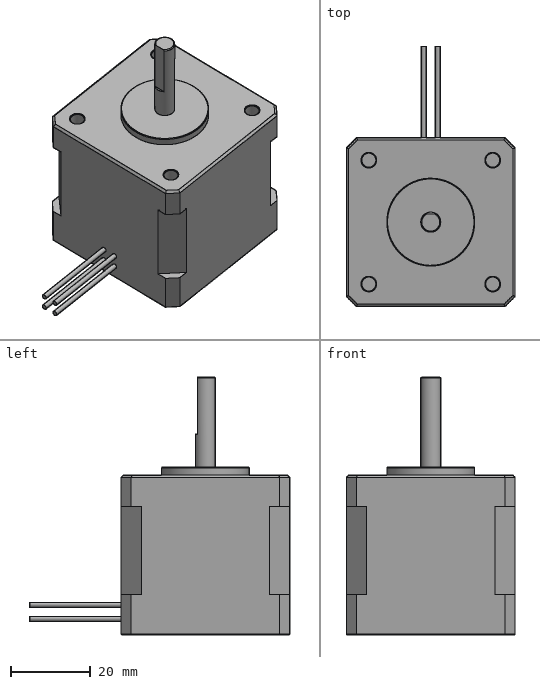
import cadquery as cq

HOUSING_WIDTH = 42.25
HOUSING_HEIGHT = 40.0
CORNER_CHAMFER = 2.55
TOP_EDGE_CHAMFER = 0.6
BOTTOM_EDGE_CHAMFER = 0.2

RECESS_BOTTOM = 10.15
RECESS_HEIGHT = 22.0
RECESS_CHAMFER = 5.1

PILOT_DIAMETER = 22.0
PILOT_HEIGHT = 2.0
PILOT_CHAMFER = 0.2

SHAFT_DIAMETER = 5.0
SHAFT_LENGTH = 22.5
SHAFT_CHAMFER = 0.25
FLAT_DEPTH = 0.5
FLAT_LENGTH = 14.3

HOLE_SPACING = 31.0
HOLE_DIAMETER = 3.5
HOLE_DEPTH = 4.5
HOLE_CHAMFER = 0.2

WIRE_DIAMETER = 1.3
WIRE_LENGTH = 22.85
WIRE_SPACING = 3.5
WIRE_CENTRE_Z = 5.7

pilot_top = HOUSING_HEIGHT + PILOT_HEIGHT
shaft_top = pilot_top + SHAFT_LENGTH


def chamfered_block(height, corner_chamfer):
    """Square block of the housing width with its four upright edges chamfered."""
    block = cq.Workplane("XY").rect(HOUSING_WIDTH, HOUSING_WIDTH).extrude(height)
    return block.edges("|Z").chamfer(corner_chamfer)


def make_housing():
    """Block with bevelled top and bottom rims and deeper cut corners at mid height."""
    block = chamfered_block(HOUSING_HEIGHT, CORNER_CHAMFER)
    block = block.faces(">Z").chamfer(TOP_EDGE_CHAMFER)
    block = block.faces("<Z").chamfer(BOTTOM_EDGE_CHAMFER)
    full_band = cq.Workplane("XY").rect(HOUSING_WIDTH, HOUSING_WIDTH).extrude(RECESS_HEIGHT)
    corner_pieces = full_band.cut(chamfered_block(RECESS_HEIGHT, RECESS_CHAMFER))
    return block.cut(corner_pieces.translate((0, 0, RECESS_BOTTOM)))


def make_pilot():
    pilot = cq.Workplane("XY", origin=(0, 0, HOUSING_HEIGHT))
    pilot = pilot.circle(PILOT_DIAMETER / 2).extrude(PILOT_HEIGHT)
    return pilot.faces(">Z").chamfer(PILOT_CHAMFER)


def make_shaft():
    """Round shaft with a bevelled tip and a flat running down from the tip."""
    shaft = cq.Workplane("XY", origin=(0, 0, pilot_top))
    shaft = shaft.circle(SHAFT_DIAMETER / 2).extrude(SHAFT_LENGTH)
    shaft = shaft.faces(">Z").chamfer(SHAFT_CHAMFER)
    flat_y = SHAFT_DIAMETER / 2 - FLAT_DEPTH
    flat_cut = cq.Workplane("XY", origin=(0, flat_y, shaft_top - FLAT_LENGTH)).box(
        SHAFT_DIAMETER, SHAFT_DIAMETER, FLAT_LENGTH, centered=(True, False, False)
    )
    return shaft.cut(flat_cut)


def make_wires():
    """Two by two bundle of straight wires pointing along +Y."""
    bundle = cq.Workplane("XZ", origin=(0, HOUSING_WIDTH / 2, WIRE_CENTRE_Z))
    bundle = bundle.rarray(WIRE_SPACING, WIRE_SPACING, 2, 2)
    return bundle.circle(WIRE_DIAMETER / 2).extrude(-WIRE_LENGTH)


def make_hole_cutters():
    """Four solids shaped like the blind holes, each with a bevelled mouth."""
    mouth_radius = HOLE_DIAMETER / 2 + HOLE_CHAMFER
    top = cq.Workplane("XY", origin=(0, 0, HOUSING_HEIGHT))
    centres = top.rect(HOLE_SPACING, HOLE_SPACING, forConstruction=True).vertices()
    bores = centres.circle(HOLE_DIAMETER / 2).extrude(-HOLE_DEPTH)
    bevel = cq.Solid.makeCone(mouth_radius, HOLE_DIAMETER / 2, HOLE_CHAMFER, dir=cq.Vector(0, 0, -1))
    bevels = centres.eachpoint(lambda place: bevel.moved(place))
    return bores.union(bevels)


result = make_housing().cut(make_hole_cutters())
result = result.union(make_pilot()).union(make_shaft()).union(make_wires())